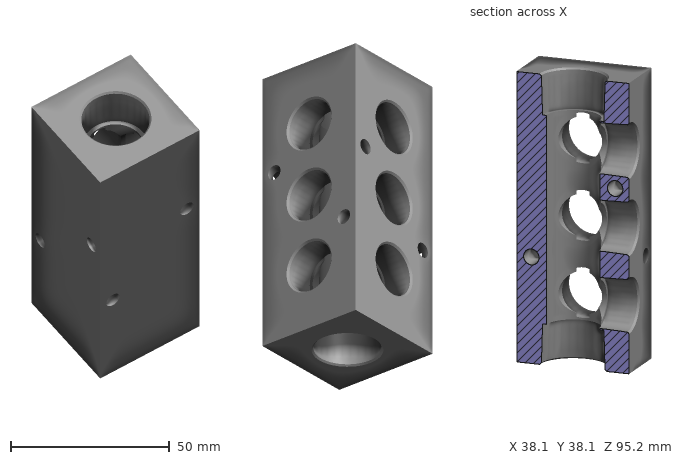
import cadquery as cq

width = 38.1
height = 95.25
half_width = width / 2
half_height = height / 2

bore_diameter = 17.9
end_rim_diameter = 22.7
end_mouth_diameter = 21.5
end_root_diameter = 20.8
end_depth = 13.3

outlet_pitch = 25.3
outlet_drill_diameter = 14.2
outlet_rim_diameter = 18.4
outlet_mouth_diameter = 17.1
outlet_root_diameter = 16.6
outlet_depth = 10.4

mount_diameter = 5.05
mount_offset = 14.2
mount_height = outlet_pitch / 2


def tapered_port(rim_diameter, mouth_diameter, root_diameter, depth):
    """Cutter opening at the origin toward +Z: rim chamfer, tapered wall, flat floor."""
    chamfer = (rim_diameter - mouth_diameter) / 2
    return (
        cq.Workplane("XZ")
        .lineTo(rim_diameter / 2, 0)
        .lineTo(mouth_diameter / 2, -chamfer)
        .lineTo(root_diameter / 2, -depth)
        .lineTo(0, -depth)
        .close()
        .revolve(360, (0, 0), (0, 1))
    )


def outlet():
    """Cutter for one outlet on the +Z side of the Z axis, reaching the axis of the main bore."""
    port = tapered_port(outlet_rim_diameter, outlet_mouth_diameter, outlet_root_diameter, outlet_depth)
    drill = cq.Workplane("XY").circle(outlet_drill_diameter / 2).extrude(-half_width)
    return port.union(drill).translate((0, 0, half_width))


block = cq.Workplane("XY").box(width, width, height)

block = block.cut(cq.Workplane("XY").circle(bore_diameter / 2).extrude(half_height, both=True))
top_port = tapered_port(
    end_rim_diameter, end_mouth_diameter, end_root_diameter, end_depth
).translate((0, 0, half_height))
block = block.cut(top_port).cut(top_port.mirror("XY"))

left_outlet = outlet().rotate((0, 0, 0), (0, 1, 0), -90)
back_outlet = outlet().rotate((0, 0, 0), (1, 0, 0), -90)
for level in (-1, 0, 1):
    for cutter in (left_outlet, back_outlet):
        block = block.cut(cutter.translate((0, 0, level * outlet_pitch)))

mount_points = [(mount_offset, mount_height), (-mount_offset, -mount_height)]
for plane in ("XZ", "YZ"):
    holes = (
        cq.Workplane(plane)
        .pushPoints(mount_points)
        .circle(mount_diameter / 2)
        .extrude(half_width, both=True)
    )
    block = block.cut(holes)

result = block